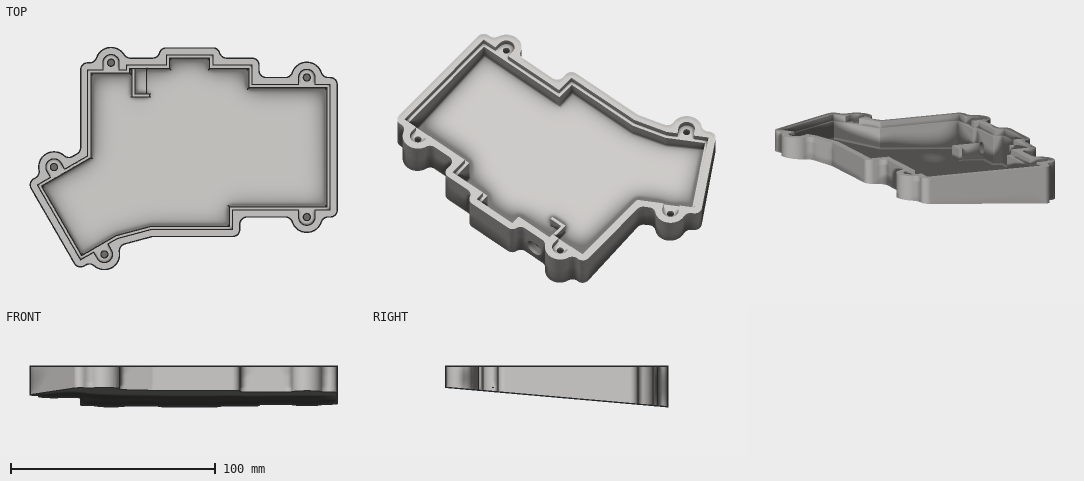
import cadquery as cq
import math

BODY_LENGTH = 118.4
LEFT_TOP = 68.4
STEP_TOP = 70.7
MIDDLE_TOP = 75.7
RIGHT_TOP = 61.2
STEP_X = 19.0
MIDDLE_LEFT = 38.4
MIDDLE_RIGHT = 61.1
RIGHT_TOP_X = 80.2
RIGHT_BOTTOM_X = 70.8
MIDDLE_BOTTOM = -9.5
BEND_X = 31.2
LEG_ANGLE = 30.0
BEND_ANGLE = 15.0
LEG_ROOT_Y = 26.4
LEG_LENGTH = 28.4
LEG_WIDTH = 42.2

RIM_WIDTH = 3.5
OUTER_BLEND_RADIUS = 3.5
LEDGE_WIDTH = 1.5
LEDGE_DEPTH = 3.0
FLOOR_FILLET = 1.0
FLOOR_THICKNESS = 2.0
TOTAL_HEIGHT = 19.9
FLOOR_SLOPE = 5.0

BOSS_RADIUS = 4.0
BOSS_SETBACK = 3.5
BOSS_FROM_CORNER = 11.4
SCREW_DIAMETER = 3.5
SCREW_HOLE_DEPTH = 8.0

BRACKET_LEFT = 21.7
BRACKET_RIGHT = 30.1
BRACKET_BOTTOM = 55.2
BRACKET_WALL = 1.5
BRACKET_TOP_Z = -9.8
SHELF_RIGHT = 28.6
SHELF_TOP_Z = -15.4
BRACKET_FILLET = 0.45

PORT_DIAMETER = 6.0
PORT_SEAT_DIAMETER = 9.0
PORT_WEB = 1.0
PORT_X = (BRACKET_LEFT + BRACKET_WALL + SHELF_RIGHT) / 2
PORT_Z = -11.5

SLOPE = math.tan(math.radians(FLOOR_SLOPE))
DEEP = 2 * TOTAL_HEIGHT


def step(point, angle, distance):
    """Point reached from another by going a distance in a direction given in degrees."""
    turn = math.radians(angle)
    return (point[0] + distance * math.cos(turn), point[1] + distance * math.sin(turn))


leg_root = (0, LEG_ROOT_Y)
leg_upper = step(leg_root, 180 + LEG_ANGLE, LEG_LENGTH)
leg_lower = step(leg_upper, LEG_ANGLE - 90, LEG_WIDTH)
bend = (BEND_X, MIDDLE_BOTTOM)
leg_rise = math.tan(math.radians(LEG_ANGLE))
bend_rise = math.tan(math.radians(BEND_ANGLE))
knee_x = (bend[1] - leg_lower[1] + leg_lower[0] * leg_rise - bend[0] * bend_rise) / (leg_rise - bend_rise)
knee = (knee_x, bend[1] + (knee_x - bend[0]) * bend_rise)

RECESS_OUTLINE = [
    leg_root,
    (0, LEFT_TOP),
    (STEP_X, LEFT_TOP),
    (STEP_X, STEP_TOP),
    (MIDDLE_LEFT, STEP_TOP),
    (MIDDLE_LEFT, MIDDLE_TOP),
    (MIDDLE_RIGHT, MIDDLE_TOP),
    (MIDDLE_RIGHT, STEP_TOP),
    (RIGHT_TOP_X, STEP_TOP),
    (RIGHT_TOP_X, RIGHT_TOP),
    (BODY_LENGTH, RIGHT_TOP),
    (BODY_LENGTH, 0),
    (RIGHT_BOTTOM_X, 0),
    (RIGHT_BOTTOM_X, MIDDLE_BOTTOM),
    bend,
    knee,
    leg_lower,
    leg_upper,
]

BOSSES = [
    ((BOSS_FROM_CORNER, LEFT_TOP), 90),
    ((BODY_LENGTH - BOSS_FROM_CORNER, RIGHT_TOP), 90),
    ((BODY_LENGTH - BOSS_FROM_CORNER, 0), -90),
    (step(leg_upper, LEG_ANGLE, BOSS_FROM_CORNER), LEG_ANGLE + 90),
    (step(leg_lower, LEG_ANGLE, BOSS_FROM_CORNER), LEG_ANGLE - 90),
]
SCREW_CENTRES = [step(foot, outward, BOSS_SETBACK) for foot, outward in BOSSES]


def prism(outline, depth):
    """Solid that goes down from the rim plane."""
    return cq.Workplane("XY").polyline(outline).close().extrude(-depth)


def boss_slot(foot, outward, depth):
    """Round-ended slot from the ledge inside the recess wall out to the screw centre."""
    inner = step(foot, outward, -LEDGE_WIDTH)
    end = step(foot, outward, BOSS_SETBACK)
    corners = [step(p, outward + side, BOSS_RADIUS) for p in (inner, end) for side in (90, -90)]
    return (
        cq.Workplane("XY")
        .moveTo(*corners[0])
        .lineTo(*corners[2])
        .threePointArc(step(end, outward, BOSS_RADIUS), corners[3])
        .lineTo(*corners[1])
        .close()
        .extrude(-depth)
    )


def recess(depth):
    """Recess with the five boss slots."""
    body = prism(RECESS_OUTLINE, depth)
    for foot, outward in BOSSES:
        body = body.union(boss_slot(foot, outward, depth))
    return body


def half_space_above(height_at_origin):
    """Block above a plane parallel to the sloped bottom, given the plane's height at Y = 0."""
    reach = 2 * BODY_LENGTH
    return (
        cq.Workplane("YZ")
        .polyline([
            (-reach, height_at_origin + SLOPE * reach),
            (reach, height_at_origin - SLOPE * reach),
            (reach, reach),
            (-reach, reach),
        ])
        .close()
        .extrude(reach, both=True)
    )


top_edge_y = SCREW_CENTRES[0][1] + BOSS_RADIUS + RIM_WIDTH
BOTTOM_Z = -TOTAL_HEIGHT + SLOPE * top_edge_y
FLOOR_Z = BOTTOM_Z + FLOOR_THICKNESS / math.cos(math.radians(FLOOR_SLOPE))


def outer_body():
    """Recess outline grown by the rim width, with its inner corners rounded."""
    outline = recess(LEDGE_DEPTH).faces(">Z").wires().toPending()
    grown = outline.offset2D(RIM_WIDTH + OUTER_BLEND_RADIUS, "arc")
    rounded = cq.Workplane("XY").add(grown.vals()).toPending().offset2D(-OUTER_BLEND_RADIUS, "arc")
    return rounded.extrude(-DEEP).intersect(half_space_above(BOTTOM_Z))


def cavity():
    """Space inside the ledge, down to the sloped floor, with a fillet all round the floor."""
    outline = cq.Workplane("XY").polyline(RECESS_OUTLINE).close().offset2D(-LEDGE_WIDTH, "intersection")
    space = outline.extrude(-DEEP).intersect(half_space_above(FLOOR_Z))
    return space.faces("<Z").edges().fillet(FLOOR_FILLET)


def block(left, right, front, back, top_z):
    """Upright block that reaches from below the floor up to a level top."""
    size = (right - left, back - front, TOTAL_HEIGHT + top_z)
    return cq.Workplane("XY").box(*size, centered=False).translate((left, front, -TOTAL_HEIGHT))


def base_fillet(face_x, outward, front, back):
    """Concave fillet between the sloped floor and an upright face; outward is +1 or -1 along X."""
    floor_z = FLOOR_Z - SLOPE * front
    foot_x = face_x + outward * BRACKET_FILLET
    bulge = BRACKET_FILLET * (1 - math.sqrt(0.5))
    profile = (
        cq.Workplane("XZ", origin=(0, front, 0))
        .moveTo(face_x, floor_z + BRACKET_FILLET)
        .threePointArc((face_x + outward * bulge, floor_z + bulge), (foot_x, floor_z))
        .lineTo(foot_x, BOTTOM_Z - SLOPE * front)
        .lineTo(face_x, BOTTOM_Z - SLOPE * front)
        .close()
    )
    run = back - front
    along_floor = cq.Vector(0, run, -SLOPE * run)
    return cq.Workplane(cq.Solid.extrudeLinear(profile.wire().val(), [], along_floor))


def bracket():
    """L-shaped wall with a level shelf inside, rooted in the sloped floor."""
    back = STEP_TOP
    side = block(BRACKET_LEFT, BRACKET_LEFT + BRACKET_WALL, BRACKET_BOTTOM, back, BRACKET_TOP_Z)
    foot = block(BRACKET_LEFT, BRACKET_RIGHT, BRACKET_BOTTOM, BRACKET_BOTTOM + BRACKET_WALL, BRACKET_TOP_Z)
    shelf = block(BRACKET_LEFT, SHELF_RIGHT, BRACKET_BOTTOM, back, SHELF_TOP_Z)
    body = side.union(foot).union(shelf).intersect(half_space_above(BOTTOM_Z))
    for face_x, outward, face_back in (
        (BRACKET_LEFT, -1, back),
        (BRACKET_RIGHT, 1, BRACKET_BOTTOM + BRACKET_WALL),
        (SHELF_RIGHT, 1, back),
    ):
        body = body.union(base_fillet(face_x, outward, BRACKET_BOTTOM, face_back))
    return body


def screw_holes():
    return cq.Workplane("XY").pushPoints(SCREW_CENTRES).circle(SCREW_DIAMETER / 2).extrude(-SCREW_HOLE_DEPTH)


def wall_bore(diameter, start_y, end_y):
    """Cylinder along Y, centred on the port."""
    centre = (PORT_X, start_y, PORT_Z)
    return cq.Workplane("XZ", origin=centre).circle(diameter / 2).extrude(start_y - end_y)


def port():
    inside = STEP_TOP - LEDGE_WIDTH
    outside = STEP_TOP + RIM_WIDTH
    opening = wall_bore(PORT_DIAMETER, inside, outside)
    return opening.union(wall_bore(PORT_SEAT_DIAMETER, inside + PORT_WEB, outside))


tub = outer_body().cut(recess(LEDGE_DEPTH)).cut(cavity())
result = tub.union(bracket()).cut(screw_holes()).cut(port())